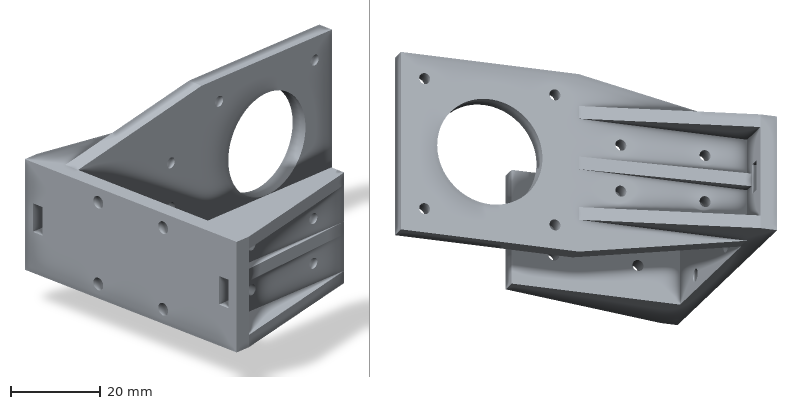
import cadquery as cq

total_width = 65.4
total_depth = 86.3
wall_thickness = 4.0
base_height = 27.1
wall_gap = 40.05
wall_inner_x = wall_gap / 2
wall_outer_x = wall_inner_x + wall_thickness

motor_plate_size = 42.3
motor_bore_diameter = 25.0
motor_screw_spacing = 31.0
small_hole_diameter = 2.6
wall_end_y = total_depth - motor_plate_size
motor_center_y = total_depth - motor_plate_size / 2

wall_hole_spacing_y = 20.0
wall_hole_spacing_z = 11.0
wall_hole_center_y = wall_thickness + wall_hole_spacing_y

front_hole_spacing = 20.0
front_hole_diameter = 3.0
slot_width = 3.0
slot_height = 7.0
slot_offset_x = 28.7

rib_thickness = 3.0
outer_rib_reach = total_width / 2 - wall_outer_x
middle_rib_reach = 2.8
outer_rib_z = (base_height - rib_thickness) / 2


def make_front_plate():
    plate = cq.Workplane("XY").box(
        total_width, wall_thickness, base_height, centered=(True, False, True)
    )
    holes = (
        cq.Workplane("XZ")
        .rect(front_hole_spacing, front_hole_spacing, forConstruction=True)
        .vertices()
        .circle(front_hole_diameter / 2)
        .extrude(-wall_thickness)
    )
    slots = (
        cq.Workplane("XZ")
        .pushPoints([(-slot_offset_x, 0), (slot_offset_x, 0)])
        .rect(slot_width, slot_height)
        .extrude(-wall_thickness)
    )
    return plate.cut(holes).cut(slots)


def make_rib(side, reach, center_z):
    """Rib on the outside of a wall; side is -1 for left and +1 for right."""
    return (
        cq.Workplane("XY", origin=(0, 0, center_z - rib_thickness / 2))
        .moveTo(side * wall_outer_x, wall_thickness)
        .lineTo(side * (wall_outer_x + reach), wall_thickness)
        .lineTo(side * wall_outer_x, wall_end_y)
        .close()
        .extrude(rib_thickness)
    )


def make_left_wall():
    """Wall that widens from the front plate to the square motor plate."""
    half_base = base_height / 2
    half_motor = motor_plate_size / 2
    plane = cq.Workplane("YZ", origin=(-wall_outer_x, 0, 0))
    wall = (
        plane.moveTo(0, -half_base)
        .lineTo(wall_thickness, -half_base)
        .lineTo(wall_end_y, -half_motor)
        .lineTo(total_depth, -half_motor)
        .lineTo(total_depth, half_motor)
        .lineTo(wall_end_y, half_motor)
        .lineTo(wall_thickness, half_base)
        .lineTo(0, half_base)
        .close()
        .extrude(wall_thickness)
    )
    motor_plane = plane.center(motor_center_y, 0)
    bore = motor_plane.circle(motor_bore_diameter / 2).extrude(wall_thickness)
    screw_holes = (
        motor_plane.rect(motor_screw_spacing, motor_screw_spacing, forConstruction=True)
        .vertices()
        .circle(small_hole_diameter / 2)
        .extrude(wall_thickness)
    )
    return wall.cut(bore).cut(screw_holes)


def make_right_wall():
    return cq.Workplane("XY", origin=(wall_inner_x, 0, 0)).box(
        wall_thickness, wall_end_y, base_height, centered=(False, False, True)
    )


def make_wall_holes():
    """Four pins along X that pierce both walls."""
    return (
        cq.Workplane("YZ", origin=(-wall_outer_x, wall_hole_center_y, 0))
        .rect(wall_hole_spacing_y, wall_hole_spacing_z, forConstruction=True)
        .vertices()
        .circle(small_hole_diameter / 2)
        .extrude(2 * wall_outer_x)
    )


result = make_front_plate().union(make_left_wall()).union(make_right_wall())
for side in (-1, 1):
    for rib_z in (-outer_rib_z, outer_rib_z):
        result = result.union(make_rib(side, outer_rib_reach, rib_z))
    result = result.union(make_rib(side, middle_rib_reach, 0))
result = result.cut(make_wall_holes())